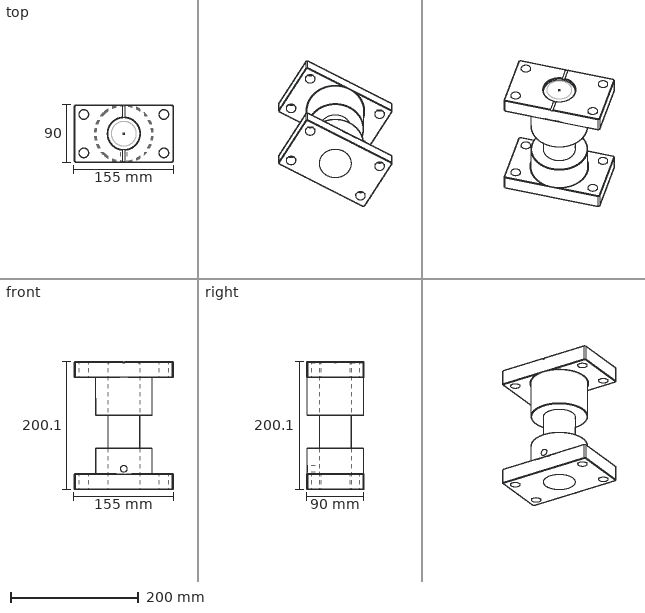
import cadquery as cq
total_height = 200.1

plate_length = 155.0
plate_width = 90.0
plate_thickness = 25.0
plate_corner_chamfer = 2.0
plate_edge_chamfer = 1.0

hole_pitch_x = 125.0
hole_pitch_y = 60.0
mounting_hole_diameter = 14.8

hub_diameter = 88.7
hub_chamfer = 1.0
lower_hub_top = 65.0
upper_hub_bottom = 115.7
hub_groove_floor = 0.6
hub_groove_depth = 1.0

pillar_diameter = 50.0
pillar_top_fillet = 5.6
pillar_recess = 0.5
bore_chamfer = 1.0
center_hole_diameter = 2.8
center_hole_depth = 2.0

side_hole_diameter = 10.5
side_hole_height = 32.6

vent_groove_radius = 2.0


def make_holder(hub_height):
    """Plate resting on Z = 0 with a bored hub standing on it."""
    top = plate_thickness + hub_height
    plate = (
        cq.Workplane("XY")
        .box(plate_length, plate_width, plate_thickness, centered=(True, True, False))
        .edges("|Z").chamfer(plate_corner_chamfer)
        .faces("<Z or >Z").edges().chamfer(plate_edge_chamfer)
    )
    mounting_holes = (
        cq.Workplane("XY")
        .rarray(hole_pitch_x, hole_pitch_y, 2, 2)
        .circle(mounting_hole_diameter / 2)
        .extrude(plate_thickness)
    )
    hub = (
        cq.Workplane("XY")
        .circle(hub_diameter / 2)
        .extrude(top)
        .faces(">Z").edges().chamfer(hub_chamfer)
    )
    bore = cq.Workplane("XY").circle(pillar_diameter / 2).extrude(top)
    return plate.cut(mounting_holes).cut(make_hub_groove()).union(hub).cut(bore)


def make_hub_groove():
    """Flat-bottomed ring groove with a 45 degree outer wall, sunk into the plate around the foot of the hub."""
    inner = hub_diameter / 2
    outer = inner + hub_groove_floor
    return (
        cq.Workplane("XZ")
        .moveTo(inner, plate_thickness)
        .lineTo(outer + hub_groove_depth, plate_thickness)
        .lineTo(outer, plate_thickness - hub_groove_depth)
        .lineTo(inner, plate_thickness - hub_groove_depth)
        .close()
        .revolve(360, (0, 0, 0), (0, 1, 0))
    )


def make_lower_holder():
    """Lower plate and hub, with a radial hole reaching the pillar from -Y."""
    side_hole = (
        cq.Workplane("XZ")
        .center(0, side_hole_height)
        .circle(side_hole_diameter / 2)
        .extrude(hub_diameter / 2)
    )
    return make_holder(lower_hub_top - plate_thickness).cut(side_hole)


def make_upper_holder():
    """Upper plate with its hub hanging down and vent grooves across its top."""
    hub_height = total_height - plate_thickness - upper_hub_bottom
    holder = (
        make_holder(hub_height)
        .rotate((0, 0, 0), (1, 0, 0), 180)
        .translate((0, 0, total_height))
    )
    vent_groove = (
        cq.Workplane("XZ")
        .center(0, total_height)
        .circle(vent_groove_radius)
        .extrude(plate_width / 2, both=True)
    )
    bore_rim = (
        cq.Workplane("XY")
        .workplane(offset=total_height - bore_chamfer)
        .circle(pillar_diameter / 2)
        .workplane(offset=bore_chamfer)
        .circle(pillar_diameter / 2 + bore_chamfer)
        .loft()
    )
    return holder.cut(vent_groove).cut(bore_rim)


def make_pillar():
    """Pillar with a rounded top edge and a small center hole."""
    return (
        cq.Workplane("XY")
        .circle(pillar_diameter / 2)
        .extrude(total_height - pillar_recess)
        .faces(">Z").edges().fillet(pillar_top_fillet)
        .faces(">Z").workplane()
        .hole(center_hole_diameter, center_hole_depth)
    )


lower_holder = make_lower_holder()
upper_holder = make_upper_holder()
pillar = make_pillar()

result = cq.Compound.makeCompound([lower_holder.val(), upper_holder.val(), pillar.val()])